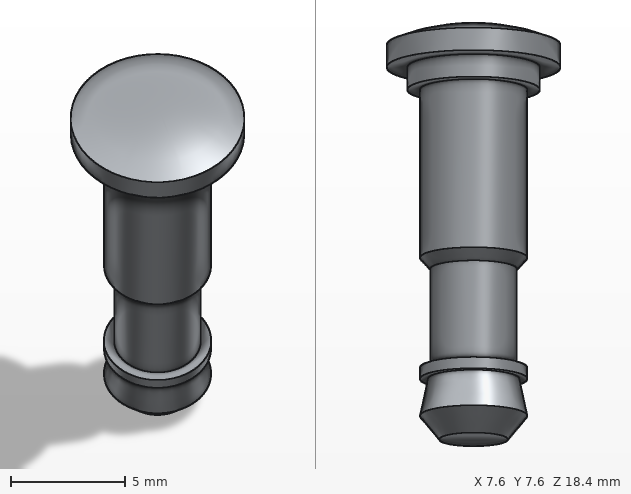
import cadquery as cq

head_radius = 7.6 / 2
collar_radius = 5.8 / 2
shank_radius = 4.7 / 2
neck_radius = 3.8 / 2
tip_root_radius = 4.0 / 2
tip_end_radius = 3.0 / 2

overall_height = 18.4
lead_in_height = 1.05
flare_height = 1.65
ring_height = 0.5
neck_height = 4.4
shank_chamfer_height = 0.5
shank_height = 7.5
collar_height = 1.0
head_rim_height = 1.0

flare_bottom = lead_in_height
ring_bottom = flare_bottom + flare_height
neck_bottom = ring_bottom + ring_height
chamfer_bottom = neck_bottom + neck_height
shank_bottom = chamfer_bottom + shank_chamfer_height
collar_bottom = shank_bottom + shank_height
head_bottom = collar_bottom + collar_height
dome_bottom = head_bottom + head_rim_height

dome_height = overall_height - dome_bottom
dome_sphere_radius = (head_radius**2 + dome_height**2) / (2 * dome_height)


def half_profile():
    """Closed half section of the pin in the XZ plane, from the tip end up to the dome."""
    profile = cq.Workplane("XZ").lineTo(tip_end_radius, 0)

    profile = profile.lineTo(shank_radius, flare_bottom)
    profile = profile.lineTo(tip_root_radius, ring_bottom)
    profile = profile.lineTo(shank_radius, ring_bottom)
    profile = profile.lineTo(shank_radius, neck_bottom)

    profile = profile.lineTo(neck_radius, neck_bottom)
    profile = profile.lineTo(neck_radius, chamfer_bottom)
    profile = profile.lineTo(shank_radius, shank_bottom)
    profile = profile.lineTo(shank_radius, collar_bottom)

    profile = profile.lineTo(collar_radius, collar_bottom)
    profile = profile.lineTo(collar_radius, head_bottom)
    profile = profile.lineTo(head_radius, head_bottom)
    profile = profile.lineTo(head_radius, dome_bottom)
    profile = profile.radiusArc((0, overall_height), -dome_sphere_radius)
    return profile.close()


result = half_profile().revolve(360, (0, 0, 0), (0, 1, 0))